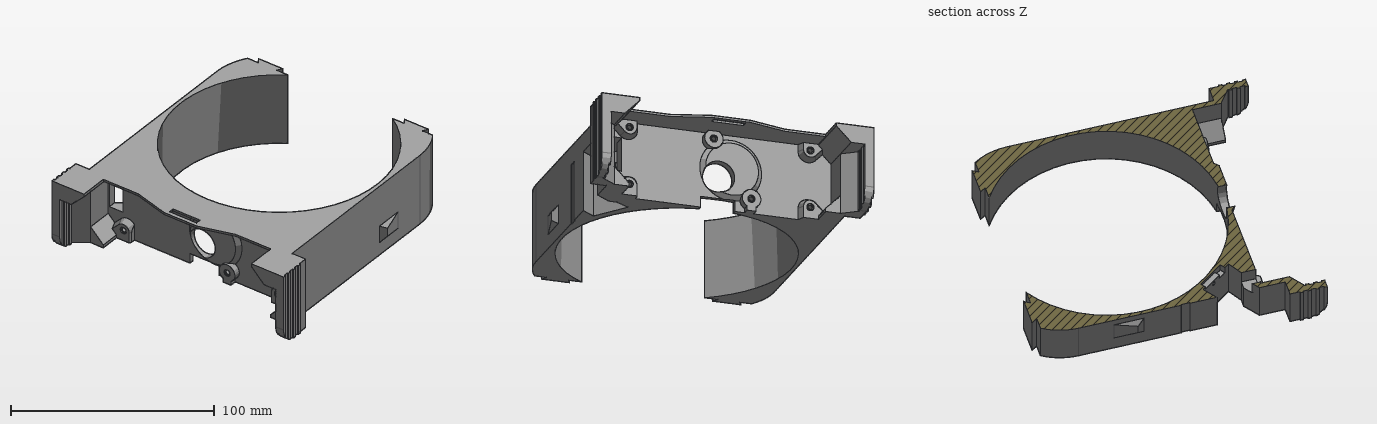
import cadquery as cq
import math

HEIGHT = 40.9
BODY_HALF = 61.9
BODY_FRONT = 16.0
BODY_BACK = 143.0
CORNER_START = 125.1
CORNER_RADIUS = 32.5
CORNER_INSET = 5.4
BORE_RADIUS = 59.8
BORE_Y = 92.4

DOVETAIL_X = 44.5
DOVETAIL_ROOT = 11.2
DOVETAIL_TIP = 14.7
DOVETAIL_HEIGHT = 2.9

CAVITY_HALF = 58.8
WALL_Y = 30.7
ROOF = 1.2
ROOF_UNDERSIDE = HEIGHT - ROOF

LEG_OUTER = 70.0
LEG_INNER = 66.5
LEG_BACK = 19.1
LEG_SLANT_Y = 10.4
LEG_TOE_RADIUS = 9.3
RIB_PITCH = 4.1
RIB_WIDTH = 1.8
RIB_HEIGHT = 0.65
OUTER_RIBS = 4
INNER_RIBS = 3

BRACKET_X = 51.1
UPPER_BRACKET_Z = 31.5
LOWER_BRACKET_RISE = 1.8

TAB_ROOT_HALF = 29.8
TAB_TIP_HALF = 9.9
TAB_FRONT = 10.5
TAB_SLOT_LENGTH = 16.3
TAB_SLOT_BACK = 15.6
TAB_SLOT_WIDTH = 2.9

BOSS_HEIGHT = 3.6
SCREW_SEAT = 3.6
SCREW_SEAT_DEPTH = 0.7
SCREW_HOLE = 2.3
SCREW_DEPTH = 4.4
CORNER_BOSS_X = 47.0
CORNER_BOSS_UPPER_Z = 36.0
CORNER_BOSS_LOWER_Z = 6.0
CORNER_BOSS_BASE = 5.3
CORNER_BOSS_TOP = 3.6
LOWER_LEFT_FLAT_X = -42.8
CENTER_BOSS_RADIUS = 4.8
CENTER_BOSS_STEM = 4.7
CENTER_BOSS_UPPER = (-3.2, 35.8)
CENTER_BOSS_LOWER = (16.3, 6.4)

DISC_CENTER = (6.7, 21.3)
DISC_BASE_RADIUS = 16.0
DISC_TOP_RADIUS = 13.7
DISC_HEIGHT = 2.2
CABLE_HOLE = 16.0
CABLE_HOLE_Z = 16.6
NOTCH_HALF = 8.9
NOTCH_HEIGHT = 5.7

CATCH_FRONT = 91.5
CATCH_BACK = 106.8
CATCH_RIDGE_Y = 95.2
CATCH_HEIGHT = 2.3
CATCH_BOTTOM = 7.5
CATCH_TOP = 17.2
CATCH_RIDGE_BOTTOM = 10.2
CATCH_RIDGE_TOP = 14.9

POCKET_TOP = 31.2
POCKET_ANGLE = 36.4
POCKET_BACK_Y = 53.9
POCKET_FRONT_Y = 32.3
POCKET_DEPTH = 8.8
POCKET_LIP = 9.8
POCKET_FLOOR = 20.6
WINDOW_LEFT = -58.1
WINDOW_RIGHT = -49.9
WINDOW_BOTTOM = 13.7

T_DEPTH = 2.9
T_STEM_START = 2.0
T_HEAD_START = 13.3
T_HEAD_END = 17.7
T_STEM_WIDTH = 4.1
T_HEAD_WIDTH = 8.6
T_CENTER_Z = 21.0
PIN_HOLE = 1.9
PIN_DEPTH = 5.8
PIN_OFFSET = 8.8

GROOVE_FRONT = 67.9
GROOVE_WIDTH = 4.5
GROOVE_DEPTH = 0.5


def block(x0, x1, y0, y1, z0, z1):
    """Box between two corners."""
    return cq.Workplane("XY").box(x1 - x0, y1 - y0, z1 - z0, centered=False).translate((x0, y0, z0))


def prism(points, z0, z1):
    """Outline in XY raised from z0 to z1."""
    return cq.Workplane("XY", origin=(0, 0, z0)).polyline(points).close().extrude(z1 - z0)


def front_prism(points, y0, y1):
    """Outline in XZ running from y0 back to y1."""
    return cq.Workplane("XZ", origin=(0, y0, 0)).polyline(points).close().extrude(y0 - y1)


def on_wall(x, z):
    """Workplane on the cavity wall, facing the front."""
    return cq.Workplane("XZ", origin=(x, WALL_Y, z))


def both_sides(right_half):
    return right_half.union(right_half.mirror("YZ"))


def make_frame():
    half_angle = math.acos(1 - CORNER_INSET / CORNER_RADIUS) / 2
    corner_mid = (
        BODY_HALF - CORNER_RADIUS * (1 - math.cos(half_angle)),
        CORNER_START + CORNER_RADIUS * math.sin(half_angle),
    )
    half = (
        cq.Workplane("XY")
        .moveTo(0, BODY_FRONT)
        .lineTo(BODY_HALF, BODY_FRONT)
        .lineTo(BODY_HALF, CORNER_START)
        .threePointArc(corner_mid, (BODY_HALF - CORNER_INSET, BODY_BACK))
        .lineTo(0, BODY_BACK)
        .close()
        .extrude(HEIGHT)
    )
    bore = cq.Workplane("XY").center(0, BORE_Y).circle(BORE_RADIUS).extrude(HEIGHT)
    cavity = block(-CAVITY_HALF, CAVITY_HALF, BODY_FRONT, WALL_Y, 0, ROOF_UNDERSIDE)
    return both_sides(half).cut(bore).cut(cavity)


def make_dovetail():
    root, tip = DOVETAIL_ROOT / 2, DOVETAIL_TIP / 2
    back = BODY_BACK + DOVETAIL_HEIGHT
    return prism(
        [
            (DOVETAIL_X - root, BODY_BACK),
            (DOVETAIL_X + root, BODY_BACK),
            (DOVETAIL_X + tip, back),
            (DOVETAIL_X - tip, back),
        ],
        0,
        HEIGHT,
    )


def make_leg():
    leg = prism(
        [
            (CAVITY_HALF, LEG_BACK),
            (CAVITY_HALF, BODY_FRONT),
            (LEG_INNER, LEG_SLANT_Y),
            (LEG_INNER, 0),
            (LEG_OUTER, 0),
            (LEG_OUTER, LEG_BACK),
        ],
        0,
        HEIGHT,
    )
    for i in range(OUTER_RIBS):
        y = i * RIB_PITCH
        inner = LEG_INNER - RIB_HEIGHT if i < INNER_RIBS else LEG_INNER
        leg = leg.union(block(inner, LEG_OUTER + RIB_HEIGHT, y, y + RIB_WIDTH, 0, HEIGHT))
    toe = block(0, LEG_OUTER + RIB_HEIGHT, 0, LEG_BACK, 0, HEIGHT).edges("<Y and <Z").fillet(LEG_TOE_RADIUS)
    return leg.intersect(toe)


def make_brackets():
    """Flange over the leg and the 45 degree brackets in the cavity corners."""
    rise = CAVITY_HALF - BRACKET_X
    upper_slope = [
        (BRACKET_X, HEIGHT),
        (BRACKET_X, UPPER_BRACKET_Z + rise),
        (CAVITY_HALF, UPPER_BRACKET_Z),
    ]
    flange_end = [(LEG_OUTER, UPPER_BRACKET_Z), (LEG_OUTER, HEIGHT)]
    flange = front_prism(upper_slope + flange_end, 0, BODY_FRONT)
    upper_corner = front_prism(upper_slope + [(CAVITY_HALF, HEIGHT)], BODY_FRONT, WALL_Y)
    lower_corner = front_prism(
        [
            (BRACKET_X, 0),
            (BRACKET_X, LOWER_BRACKET_RISE),
            (CAVITY_HALF, LOWER_BRACKET_RISE + rise),
            (CAVITY_HALF, 0),
        ],
        BODY_FRONT,
        WALL_Y,
    )
    return flange.union(upper_corner).union(lower_corner)


def make_tab():
    tab = prism(
        [
            (-TAB_ROOT_HALF, BODY_FRONT),
            (-TAB_TIP_HALF, TAB_FRONT),
            (TAB_TIP_HALF, TAB_FRONT),
            (TAB_ROOT_HALF, BODY_FRONT),
        ],
        ROOF_UNDERSIDE,
        HEIGHT,
    )
    slot_half = TAB_SLOT_LENGTH / 2
    slot_front = TAB_SLOT_BACK - TAB_SLOT_WIDTH
    return tab.cut(block(-slot_half, slot_half, slot_front, TAB_SLOT_BACK, ROOF_UNDERSIDE, HEIGHT))


def make_corner_boss(z, toward_edge):
    """Tapered boss on the right; it runs on to the cavity corner and to the edge (+1 up, -1 down)."""
    r = CORNER_BOSS_BASE
    diagonal = r / math.sqrt(2)
    reach = 2 * r
    taper = math.degrees(math.atan((CORNER_BOSS_BASE - CORNER_BOSS_TOP) / BOSS_HEIGHT))
    boss = (
        on_wall(CORNER_BOSS_X, z)
        .moveTo(-r, toward_edge * reach)
        .lineTo(-r, 0)
        .threePointArc(
            (-r * math.sin(math.pi / 8), -toward_edge * r * math.cos(math.pi / 8)),
            (diagonal, -toward_edge * diagonal),
        )
        .lineTo(diagonal + reach, toward_edge * (reach - diagonal))
        .lineTo(diagonal + reach, toward_edge * reach)
        .close()
        .extrude(BOSS_HEIGHT, taper=taper)
    )
    return boss.intersect(block(0, CAVITY_HALF, 0, WALL_Y, 0, HEIGHT))


def make_center_boss(x, z):
    return on_wall(x, z).circle(CENTER_BOSS_RADIUS).extrude(BOSS_HEIGHT)


def make_disc():
    taper = math.degrees(math.atan((DISC_BASE_RADIUS - DISC_TOP_RADIUS) / DISC_HEIGHT))
    return on_wall(*DISC_CENTER).circle(DISC_BASE_RADIUS).extrude(DISC_HEIGHT, taper=taper)


def make_catch():
    tip = BODY_HALF + CATCH_HEIGHT
    profile = prism(
        [(BODY_HALF, CATCH_FRONT), (tip, CATCH_RIDGE_Y), (BODY_HALF, CATCH_BACK)],
        CATCH_BOTTOM,
        CATCH_TOP,
    )
    hips = front_prism(
        [
            (BODY_HALF, CATCH_BOTTOM),
            (tip, CATCH_RIDGE_BOTTOM),
            (tip, CATCH_RIDGE_TOP),
            (BODY_HALF, CATCH_TOP),
        ],
        CATCH_FRONT,
        CATCH_BACK,
    )
    return profile.intersect(hips)


def make_pocket():
    """Skewed pocket with its window to the front cavity, T recess and pin holes."""
    skew_cos = math.cos(math.radians(POCKET_ANGLE))
    skew_sin = math.sin(math.radians(POCKET_ANGLE))
    back_corner = (-BODY_HALF + POCKET_DEPTH * skew_cos, POCKET_BACK_Y + POCKET_DEPTH * skew_sin)
    floor_end = (back_corner[0] + POCKET_FLOOR * skew_sin, back_corner[1] - POCKET_FLOOR * skew_cos)
    lip_end = (-BODY_HALF + POCKET_LIP * skew_cos, POCKET_FRONT_Y + POCKET_LIP * skew_sin)
    pocket = prism(
        [
            (-BODY_HALF, POCKET_BACK_Y),
            back_corner,
            floor_end,
            (WINDOW_RIGHT, lip_end[1]),
            lip_end,
            (-BODY_HALF, POCKET_FRONT_Y),
        ],
        0,
        POCKET_TOP,
    )
    window = block(WINDOW_LEFT, WINDOW_RIGHT, WALL_Y, lip_end[1], WINDOW_BOTTOM, POCKET_TOP)

    floor_plane = cq.Plane(
        origin=(back_corner[0], back_corner[1], T_CENTER_Z),
        xDir=(skew_sin, -skew_cos, 0),
        normal=(-skew_cos, -skew_sin, 0),
    )
    floor = cq.Workplane(floor_plane)
    stem_length = T_HEAD_START - T_STEM_START
    head_length = T_HEAD_END - T_HEAD_START
    stem = floor.center(T_STEM_START + stem_length / 2, 0).rect(stem_length, T_STEM_WIDTH).extrude(-T_DEPTH)
    head = floor.center(T_HEAD_START + head_length / 2, 0).rect(head_length, T_HEAD_WIDTH).extrude(-T_DEPTH)
    pin_z = T_HEAD_WIDTH / 2
    pin_points = [(PIN_OFFSET, -pin_z), (PIN_OFFSET, pin_z)]
    pins = floor.pushPoints(pin_points).circle(PIN_HOLE / 2).extrude(-PIN_DEPTH)
    return pocket.union(window).union(stem).union(head).union(pins)


result = make_frame().union(make_tab())
for right_part in (make_leg(), make_brackets(), make_dovetail(), make_catch()):
    result = result.union(both_sides(right_part))

result = result.union(make_disc())
upper_boss = make_corner_boss(CORNER_BOSS_UPPER_Z, 1)
lower_boss = make_corner_boss(CORNER_BOSS_LOWER_Z, -1)
lower_bosses = both_sides(lower_boss).cut(block(LOWER_LEFT_FLAT_X, 0, 0, WALL_Y, 0, HEIGHT))
result = result.union(both_sides(upper_boss)).union(lower_bosses)
for center in (CENTER_BOSS_UPPER, CENTER_BOSS_LOWER):
    result = result.union(make_center_boss(*center))
stem_x, stem_top = CENTER_BOSS_LOWER
stem_left = stem_x - CENTER_BOSS_STEM / 2
result = result.union(
    block(stem_left, stem_left + CENTER_BOSS_STEM, WALL_Y - BOSS_HEIGHT, WALL_Y, 0, stem_top)
)

screw_points = [CENTER_BOSS_UPPER, CENTER_BOSS_LOWER]
for side in (-1, 1):
    for boss_z in (CORNER_BOSS_UPPER_Z, CORNER_BOSS_LOWER_Z):
        screw_points.append((side * CORNER_BOSS_X, boss_z))
boss_front = cq.Workplane("XZ", origin=(0, WALL_Y - BOSS_HEIGHT, 0))
for diameter, depth in ((SCREW_SEAT, SCREW_SEAT_DEPTH), (SCREW_HOLE, SCREW_DEPTH)):
    result = result.cut(boss_front.pushPoints(screw_points).circle(diameter / 2).extrude(-depth))

cable_hole = cq.Workplane("XZ", origin=(0, BORE_Y, CABLE_HOLE_Z)).circle(CABLE_HOLE / 2)
result = result.cut(cable_hole.extrude(BORE_Y - BODY_FRONT))
result = result.cut(block(-NOTCH_HALF, NOTCH_HALF, BODY_FRONT, BORE_Y, 0, NOTCH_HEIGHT))

result = result.cut(make_pocket())
groove_bottom_x = -BODY_HALF + GROOVE_DEPTH
result = result.cut(
    block(-BODY_HALF, groove_bottom_x, GROOVE_FRONT, GROOVE_FRONT + GROOVE_WIDTH, 0, POCKET_TOP)
)